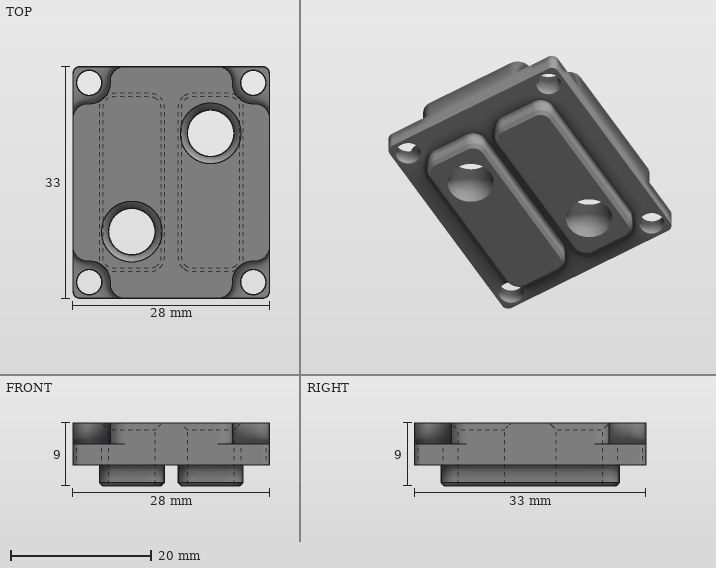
import cadquery as cq

plate_width = 28.0
plate_length = 33.0
plate_height = 6.0
plate_corner_radius = 1.0

flange_height = plate_height / 2
screw_hole_diameter = 3.55
screw_hole_inset = 2.3
corner_relief_radius = 3.0
relief_blend_radius = 2.0

pad_width = 9.25
pad_length = 25.4
pad_height = 3.0
pad_corner_radius = 2.0
pad_chamfer = 0.5

port_offset_x = 5.6
port_offset_y = 7.0
port_diameter = 6.6
port_countersink_diameter = 8.65
port_countersink_angle = 90.0

screw_spacing_x = plate_width - 2 * screw_hole_inset
screw_spacing_y = plate_length - 2 * screw_hole_inset


def make_flange():
    """Full rectangle that carries the mounting holes."""
    return (
        cq.Workplane("XY")
        .rect(plate_width, plate_length)
        .extrude(flange_height)
        .edges("|Z")
        .fillet(plate_corner_radius)
    )


def make_raised_body():
    """Upper layer with a rounded scoop around each mounting hole."""
    layer_height = plate_height - flange_height
    reliefs = (
        cq.Workplane("XY", origin=(0, 0, flange_height))
        .rect(screw_spacing_x, screw_spacing_y, forConstruction=True)
        .vertices()
        .circle(corner_relief_radius)
        .extrude(layer_height)
    )
    corner_squares = (
        cq.Workplane("XY", origin=(0, 0, flange_height))
        .rect(plate_width - screw_hole_inset, plate_length - screw_hole_inset, forConstruction=True)
        .vertices()
        .rect(screw_hole_inset, screw_hole_inset)
        .extrude(layer_height)
    )
    layer = (
        cq.Workplane("XY", origin=(0, 0, flange_height))
        .rect(plate_width, plate_length)
        .extrude(layer_height)
        .cut(reliefs)
        .cut(corner_squares)
    )
    return layer.edges("|Z").fillet(relief_blend_radius)


def make_pad(center_x):
    """Rounded pad with a chamfered lower rim."""
    return (
        cq.Workplane("XY")
        .center(center_x, 0)
        .rect(pad_width, pad_length)
        .extrude(-pad_height)
        .edges("|Z")
        .fillet(pad_corner_radius)
        .faces("<Z")
        .chamfer(pad_chamfer)
    )


result = make_flange().union(make_raised_body())
for side in (-1, 1):
    result = result.union(make_pad(side * port_offset_x))

result = (
    result.faces(">Z")
    .workplane(origin=(0, 0, plate_height))
    .rect(screw_spacing_x, screw_spacing_y, forConstruction=True)
    .vertices()
    .hole(screw_hole_diameter)
)

result = (
    result.faces(">Z")
    .workplane(origin=(0, 0, plate_height))
    .pushPoints([(side * port_offset_x, side * port_offset_y) for side in (-1, 1)])
    .cskHole(port_diameter, port_countersink_diameter, port_countersink_angle)
)